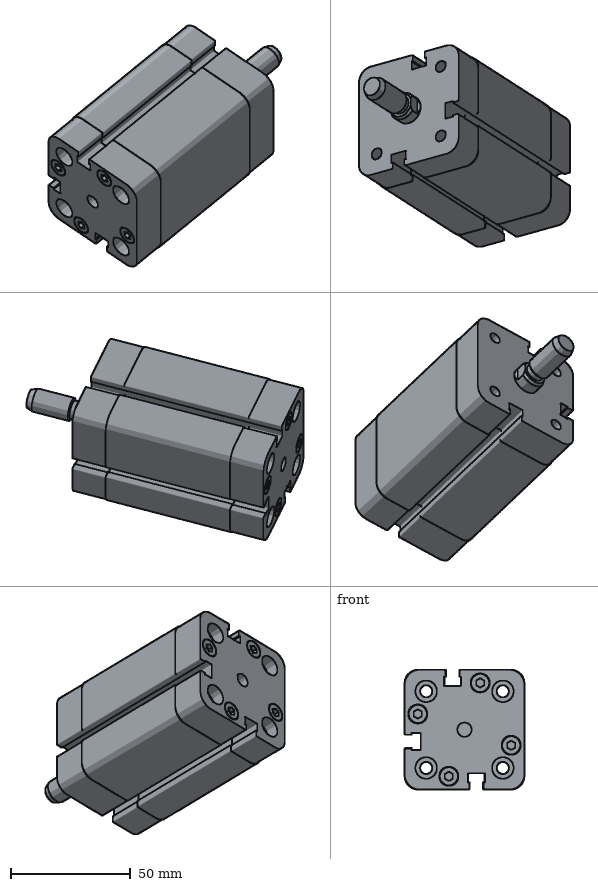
import cadquery as cq
import math


TOTAL_LENGTH = 112.5
TUBE_SIDE = 50.1
TUBE_CORNER_RADIUS = 5.8
CAP_INSET = 0.1
CAP_SIDE = TUBE_SIDE - 2 * CAP_INSET
CAP_CORNER_RADIUS = 6.1
CAP_LENGTH = 14.7
HOUSING_LENGTH = 84.6
TUBE_LENGTH = HOUSING_LENGTH - 2 * CAP_LENGTH

LIP_DEPTH = 3.0
CAP_SLOT_DEPTH = 6.8
TUBE_SLOT_DEPTH = 6.9
LIP_UNDERCUT = 0.7
MOUTH_RADIUS = 0.6
FLOOR_RADIUS = 0.3
SLOT_RIGHT = -2.1
CAP_SLOT_LEFT = -8.0
TUBE_SLOT_LEFT = -7.6
SLOT_ANGLES = (0, -90, -180)

MOUNT_OFFSET = 16.0
MOUNT_DIAMETER = 5.0
MOUNT_BORE_DIAMETER = 9
MOUNT_BORE_DEPTH = 5.7

CENTRE_HOLE_DIAMETER = 6.0
CENTRE_HOLE_DEPTH = 10.0

SCREW_X = 6.5
SCREW_Z = 19.5
SCREW_CENTRES = (
    (SCREW_X, SCREW_Z),
    (-SCREW_Z, SCREW_X),
    (-SCREW_X, -SCREW_Z),
    (SCREW_Z, -SCREW_X),
)
SCREW_GAP_OUTER = 8.0
SCREW_GAP_INNER = 7.5
SCREW_GAP_DEPTH = 4.0
SOCKET_ACROSS_FLATS = 3.4
SOCKET_ACROSS_CORNERS = SOCKET_ACROSS_FLATS * 2 / math.sqrt(3)
SOCKET_DEPTH = 2.0

ROD_DIAMETER = 12.0
ROD_FLATS = 10.0
THREAD_DIAMETER = 10.0
NECK_DIAMETER = 8.0
THREAD_LENGTH = 19.1
TIP_TAPER = 2.7
THREAD_RUNOUT = 0.5
NECK_LENGTH = 2.6
SHOULDER_TAPER = 1.4
SHOULDER_STEP = 0.8
FLATS_START = 1.2


def prism(section, start, length):
    """Extrude an XZ section along +Y from the given Y."""
    return section.extrude(-length).translate((0, start, 0))


def square_block(side, corner_radius, start, length):
    block = prism(cq.Workplane("XZ").rect(side, side), start, length)
    return block.edges("|Y").fillet(corner_radius)


def slot_cutter(left, right, face, depth, start, length):
    """T-shaped slot with rounded mouth, opening through the face at Z = face."""
    lip = TUBE_SIDE / 2 - LIP_DEPTH
    floor = TUBE_SIDE / 2 - depth
    mouth = (
        cq.Workplane("XZ")
        .moveTo(left, floor)
        .lineTo(left, face - MOUTH_RADIUS)
        .radiusArc((left - MOUTH_RADIUS, face), -MOUTH_RADIUS)
        .lineTo(left - MOUTH_RADIUS, TUBE_SIDE)
        .lineTo(right + MOUTH_RADIUS, TUBE_SIDE)
        .lineTo(right + MOUTH_RADIUS, face)
        .radiusArc((right, face - MOUTH_RADIUS), -MOUTH_RADIUS)
        .lineTo(right, floor)
        .close()
    )
    chamber = (
        cq.Workplane("XZ")
        .center((left + right) / 2, (lip + floor) / 2)
        .rect(right - left + 2 * LIP_UNDERCUT, lip - floor)
    )
    rounded_chamber = prism(chamber, start, length).edges("|Y and <Z").fillet(FLOOR_RADIUS)
    return prism(mouth, start, length).union(rounded_chamber)


def slotted_block(side, corner_radius, slot_left, slot_depth, start, length):
    block = square_block(side, corner_radius, start, length)
    cutter = slot_cutter(slot_left, SLOT_RIGHT, side / 2, slot_depth, start, length)
    for angle in SLOT_ANGLES:
        block = block.cut(cutter.rotate((0, 0, 0), (0, 1, 0), angle))
    return block


def housing():
    front_cap = slotted_block(
        CAP_SIDE, CAP_CORNER_RADIUS, CAP_SLOT_LEFT, CAP_SLOT_DEPTH, 0, CAP_LENGTH
    )
    tube = slotted_block(
        TUBE_SIDE, TUBE_CORNER_RADIUS, TUBE_SLOT_LEFT, TUBE_SLOT_DEPTH, CAP_LENGTH, TUBE_LENGTH
    )
    rear_cap = front_cap.translate((0, CAP_LENGTH + TUBE_LENGTH, 0))
    return front_cap.union(tube).union(rear_cap)


def mounting_holes():
    spacing = 2 * MOUNT_OFFSET
    centres = cq.Workplane("XZ").rect(spacing, spacing, forConstruction=True).vertices()
    holes = prism(centres.circle(MOUNT_DIAMETER / 2), 0, HOUSING_LENGTH)
    bores = prism(centres.circle(MOUNT_BORE_DIAMETER / 2), 0, MOUNT_BORE_DEPTH)
    return holes.union(bores)


def centre_hole():
    return prism(cq.Workplane("XZ").circle(CENTRE_HOLE_DIAMETER / 2), 0, CENTRE_HOLE_DEPTH)


def screw_recesses():
    """Ring gap around each screw head and the hexagon socket in it."""
    ring = cq.Workplane("XZ").circle(SCREW_GAP_OUTER / 2).circle(SCREW_GAP_INNER / 2)
    hexagon = cq.Workplane("XZ").transformed(rotate=(0, 0, 90)).polygon(6, SOCKET_ACROSS_CORNERS)
    recess = prism(ring, 0, SCREW_GAP_DEPTH).union(prism(hexagon, 0, SOCKET_DEPTH))
    recesses = cq.Workplane("XZ")
    for x, z in SCREW_CENTRES:
        recesses = recesses.add(recess.translate((x, 0, z)))
    return recesses.combine()


def piston_rod():
    thread_end = TOTAL_LENGTH - THREAD_LENGTH
    shoulder = thread_end - NECK_LENGTH
    rod_radius = ROD_DIAMETER / 2
    thread_radius = THREAD_DIAMETER / 2
    neck_radius = NECK_DIAMETER / 2
    rod = (
        cq.Workplane("XY")
        .moveTo(0, HOUSING_LENGTH)
        .lineTo(rod_radius, HOUSING_LENGTH)
        .lineTo(rod_radius, shoulder - SHOULDER_TAPER)
        .lineTo(rod_radius - SHOULDER_STEP, shoulder)
        .lineTo(neck_radius, shoulder)
        .lineTo(neck_radius, thread_end)
        .lineTo(thread_radius, thread_end + THREAD_RUNOUT)
        .lineTo(thread_radius, TOTAL_LENGTH - TIP_TAPER)
        .lineTo(neck_radius, TOTAL_LENGTH)
        .lineTo(0, TOTAL_LENGTH)
        .close()
        .revolve(360, (0, 0, 0), (0, 1, 0))
    )
    flat = ROD_FLATS / 2
    flat_start = HOUSING_LENGTH + FLATS_START
    runout = rod_radius - flat
    flat_cutter = (
        cq.Workplane("XY")
        .moveTo(flat, flat_start)
        .lineTo(rod_radius, flat_start - runout)
        .lineTo(rod_radius, shoulder)
        .lineTo(flat, shoulder)
        .close()
        .extrude(rod_radius, both=True)
    )
    return rod.cut(flat_cutter).cut(flat_cutter.mirror("YZ"))


result = (
    housing()
    .cut(mounting_holes())
    .cut(centre_hole())
    .cut(screw_recesses())
    .union(piston_rod())
)